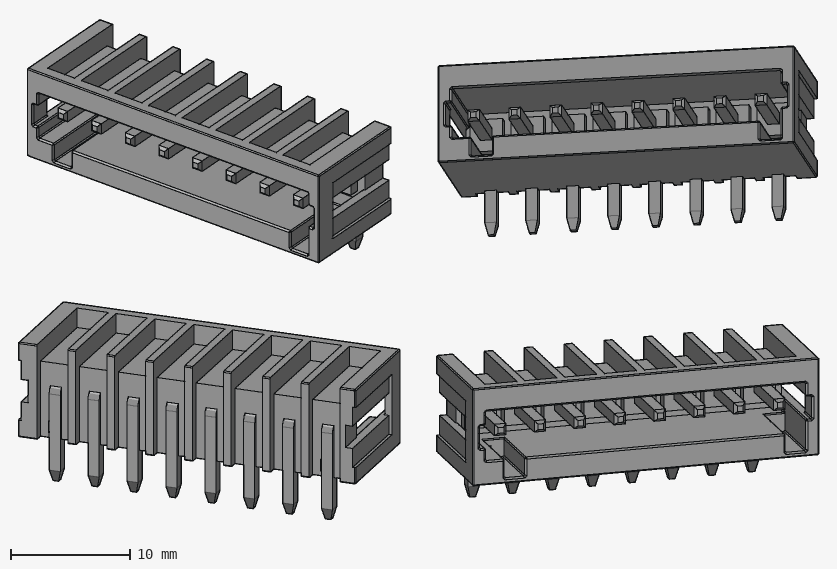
import cadquery as cq


pin_count = 8
pitch = 3.5
first_pin_x = 2.8
pin_size = 1.0
pin_tip_size = 0.5
contact_height = 4.34
contact_tip_y = 1.05
contact_taper = 0.25
leg_y = 9.25
bend_radius = 0.8
leg_length = 3.8
leg_taper = 1.0

width = 30.4
depth = 10.3
height = 8.5
outer_chamfer = 0.1

end_wall = 1.15
cavity_left = end_wall
cavity_right = width - end_wall
cavity_bottom = 2.1
cavity_top = 6.42
cavity_depth = 7.75
mouth_chamfer = 0.15
edge_chamfer = 0.1
boss_front = 6.85
boss_centre = (cavity_bottom + cavity_top) / 2

bay_width = 2.8
bay_front = 1.05
bay_floor = 6.75
bay_back = 9.45

groove_front = 2.0
recess_depth = 0.28
recess_bottom = 1.5
recess_top = 6.9
groove_depth = 0.92
groove_bottom = 3.2
groove_top = 5.2
slot_wall = 0.62

key_width = 1.8
key_bottom = 0.45
key_depth = 6.0
key_hole_reach = 0.68
key_hole_top = 1.48

pin_xs = [first_pin_x + i * pitch for i in range(pin_count)]

keyways = (
    (first_pin_x, pin_xs[0]),
    (cavity_right - key_width, pin_xs[-1]),
)


def block(x0, x1, y0, y1, z0, z1):
    """Axis-aligned block between two opposite corners."""
    return cq.Workplane("XY").box(x1 - x0, y1 - y0, z1 - z0, centered=False).translate((x0, y0, z0))


def make_cavity():
    """Mating space: the main cavity, a slot at mid height into both ends and two keyways below."""
    cavity = block(cavity_left, cavity_right, 0, cavity_depth, cavity_bottom, cavity_top)
    cavity = cavity.union(block(slot_wall, width - slot_wall, 0, cavity_depth, groove_bottom, groove_top))
    for left, _ in keyways:
        cavity = cavity.union(block(left, left + key_width, 0, key_depth, key_bottom, cavity_bottom))
    cavity = cavity.clean()
    key_ends = cq.selectors.BoxSelector(
        (0, key_depth - edge_chamfer, cavity_bottom - edge_chamfer),
        (width, key_depth + edge_chamfer, cavity_bottom + edge_chamfer),
    )
    long_edges = cavity.edges("|Y").vals()
    end_edges = cavity.edges("|X").edges(key_ends).vals()
    return cavity.newObject(long_edges + end_edges).chamfer(edge_chamfer)


def make_shell():
    """Chamfered outer block with the mating cavity cut in and its mouth chamfered."""
    shell = block(0, width, 0, depth, 0, height).edges().chamfer(outer_chamfer)
    shell = shell.cut(make_cavity())
    mouth_edges = shell.faces("<Y").val().innerWires()[0].Edges()
    return shell.newObject(mouth_edges).chamfer(mouth_chamfer)


def add_bosses(body):
    """Add a square boss around each contact on the back wall of the cavity."""
    half = bay_width / 2
    for x in pin_xs:
        boss = block(x - half, x + half, boss_front, cavity_depth, boss_centre - half, boss_centre + half)
        body = body.union(boss)
    return body


def cut_bays(body):
    """Open one bay per pin, leaving thin ribs between them."""
    for x in pin_xs:
        left = x - bay_width / 2
        right = x + bay_width / 2
        body = body.cut(block(left, right, bay_front, depth, bay_floor, height))
        body = body.cut(block(left, right, bay_back, depth, 0, height))
    return body


def cut_end_grooves(body):
    """Cut the shallow recess and the deeper groove, which meets the cavity slot, into both ends."""
    left_end = block(0, recess_depth, groove_front, depth, recess_bottom, recess_top)
    left_end = left_end.union(block(0, groove_depth, groove_front, depth, groove_bottom, groove_top))
    right_end = left_end.mirror("YZ", (width / 2, 0, 0))
    return body.cut(left_end).cut(right_end)


def cut_key_holes(body):
    """Open a hole from the inner end of each keyway through the back wall."""
    for left, pin_x in keyways:
        hole = block(left, pin_x + key_hole_reach, key_depth, depth, key_bottom, key_hole_top)
        body = body.cut(hole)
    return body


def tapered_bar(plane, length, taper):
    """Square bar that starts at the plane and tapers over its last stretch."""
    bar = cq.Workplane(plane).rect(pin_size, pin_size).extrude(length - taper)
    tip = (
        cq.Workplane(plane)
        .workplane(offset=length - taper)
        .rect(pin_size, pin_size)
        .workplane(offset=taper)
        .rect(pin_tip_size, pin_tip_size)
        .loft()
    )
    return bar.union(tip)


def make_pin(x):
    """Right-angle pin: contact pointing at the mouth, leg pointing down."""
    leg_top = contact_height + pin_size / 2
    leg_back = leg_y + pin_size / 2
    contact_plane = cq.Plane((x, leg_back, contact_height), (1, 0, 0), (0, -1, 0))
    leg_plane = cq.Plane((x, leg_y, leg_top), (1, 0, 0), (0, 0, -1))
    contact = tapered_bar(contact_plane, leg_back - contact_tip_y, contact_taper)
    leg = tapered_bar(leg_plane, leg_top + leg_length, leg_taper)
    bend_edge = cq.selectors.NearestToPointSelector((x, leg_back, leg_top))
    return contact.union(leg).clean().edges(bend_edge).fillet(bend_radius)


result = make_shell()
result = add_bosses(result)
result = cut_bays(result)
result = cut_end_grooves(result)
result = cut_key_holes(result)
for pin_x in pin_xs:
    result = result.union(make_pin(pin_x))